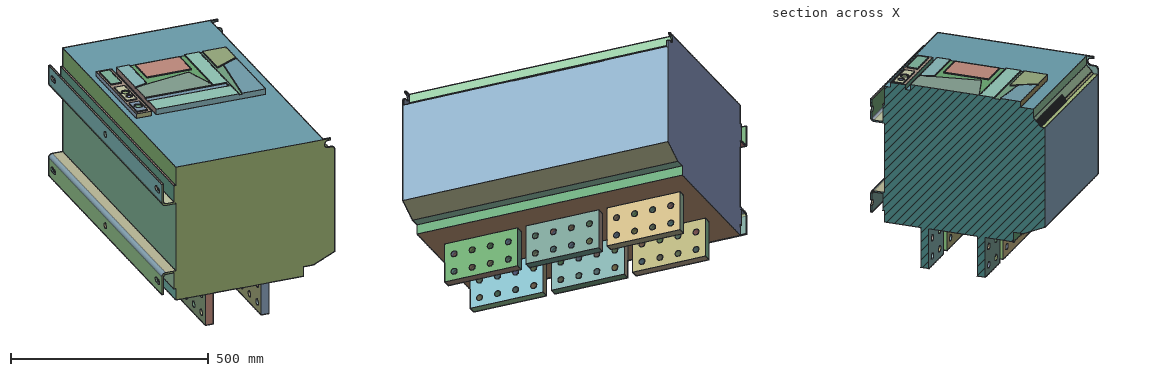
import cadquery as cq

WIDTH = 740.0
DEPTH = 436.5
HEIGHT = 375.0
BACK_UNDERCUT_Y = 351.0
BACK_UNDERCUT_Z = 27.0
BACK_SLOPE_Y = 377.5
BACK_SLOPE_Z = 54.0
BACK_CORNER = 9.0

LIP_Y = 425.0
LIP_THICKNESS = 4.5
NOTCH_Y = 408.5
NOTCH_Z = 351.0
NOTCH_RADIUS = 9.5

END_PLATE = 4.5
SHELF_Y = 405.5
SHELF_STEP_Y = 420.0
SHELF_STEP = 2.0
VENT_COUNT = 62
VENT_ROW_WIDTH = 249.0
VENT_PITCH = VENT_ROW_WIDTH / VENT_COUNT
VENT_WIDTH = VENT_PITCH / 2
VENT_START_Y = 412.0
VENT_DEPTH = 7.5

RAIL_REACH = 38.5
RAIL_SHEET = 5.0
RAIL_BEND = 2 * RAIL_SHEET
RAIL_WEB_Z = 272.0
RAIL_INNER_TOP = 323.5
RAIL_OUTER_TOP = 333.0
RAIL_MIRROR_Z = 177.5
RAIL_HOLE_Z = 306.0
RAIL_HOLE_DIAMETER = 15.0
RAIL_SLOT_X = 340.5
RAIL_SLOT_LENGTH = 28.0
RAIL_SLOT_WIDTH = 12.5

BAR_WIDTH = 203.5
BAR_THICKNESS = 22.0
BAR_LENGTH = 109.5
BAR_PITCH = 226.5
BAR_ROWS_Y = (109.5, 263.0)
BAR_HOLE_PITCH = 50.0
BAR_HOLE_COLUMNS = 4
BAR_HOLE_ROWS = 2
BAR_HOLE_DIAMETER = 16.0
BAR_TOP_HOLE_DROP = 34.0

COVER_X = -55.5
COVER_WIDTH = 260.0
COVER_LEFT = COVER_X - COVER_WIDTH / 2
COVER_RIGHT = COVER_X + COVER_WIDTH / 2
COVER_FRONT = 70.0
COVER_BACK = 371.0
PLATE_HEIGHT = 12.5
PANEL_HEIGHT = 3.0
PLATE_TOP = HEIGHT + PLATE_HEIGHT

UPPER_PANEL_FRONT = 306.0
UPPER_GAP_LEFT = -121.0
UPPER_GAP_RIGHT = -118.0
UPPER_LEFT_TIP_X = -87.0
UPPER_RIGHT_TIP = (-96.0, 326.0)

FIELD_BACK = 298.0
GROOVE_LEFT = 1.5
GROOVE_RIGHT = 22.0
GROOVE_BACK = 293.0
GROOVE_CORNER = 5.0
RECESS_BACK = 257.5
RECESS_FRONT = 106.5
RECESS_CORNER_X = -74.0
RECESS_NOTCH_X = -63.0
WEDGE_TIP = (-89.5, 229.0)
WEDGE_FOOT_X = -61.5
SCREEN_LEFT = -180.5
SCREEN_RIGHT = -104.0
SCREEN_FRONT = 120.0
SCREEN_BACK = 242.0

STRIP_LEFT = -188.0
STRIP_FRONT = 15.5
STRIP_BACK = 58.0
STRIP_PANEL_FRONT = 21.0
STRIP_PANEL_BACK = 49.5
STRIP_PANELS = ((-178.0, -102.0), (-82.0, -1.0), (14.0, 66.5))
BUTTON_Y = 36.0
BUTTONS = ((-46.5, 21.0), (-22.0, 16.0), (38.0, 21.0))


def box(x0, x1, y0, y1, z0, z1):
    return cq.Workplane("XY").box(x1 - x0, y1 - y0, z1 - z0, centered=False).translate((x0, y0, z0))


def across(profile, width):
    """Extrude a closed YZ profile along X, centred on x = 0."""
    return profile.extrude(width / 2, both=True)


def raised(points):
    """Thin panel on top of the cover plate."""
    return cq.Workplane("XY").workplane(offset=PLATE_TOP).polyline(points).close().extrude(PANEL_HEIGHT)


def raised_rectangle(x0, x1, y0, y1):
    return raised([(x0, y0), (x1, y0), (x1, y1), (x0, y1)])


def make_housing():
    body = across(
        cq.Workplane("YZ")
        .moveTo(0, 0)
        .lineTo(BACK_UNDERCUT_Y, 0)
        .lineTo(BACK_UNDERCUT_Y, BACK_UNDERCUT_Z)
        .lineTo(BACK_SLOPE_Y, BACK_UNDERCUT_Z)
        .lineTo(DEPTH, BACK_SLOPE_Z)
        .lineTo(DEPTH, NOTCH_Z - BACK_CORNER)
        .radiusArc((DEPTH - BACK_CORNER, NOTCH_Z), -BACK_CORNER)
        .lineTo(NOTCH_Y + NOTCH_RADIUS, NOTCH_Z)
        .radiusArc((NOTCH_Y, NOTCH_Z + NOTCH_RADIUS), NOTCH_RADIUS)
        .lineTo(NOTCH_Y, HEIGHT - LIP_THICKNESS - NOTCH_RADIUS)
        .radiusArc((NOTCH_Y + NOTCH_RADIUS, HEIGHT - LIP_THICKNESS), NOTCH_RADIUS)
        .lineTo(LIP_Y, HEIGHT - LIP_THICKNESS)
        .lineTo(LIP_Y, HEIGHT)
        .lineTo(0, HEIGHT)
        .close(),
        WIDTH,
    )
    return body.cut(make_shelf_space()).cut(make_vents())


def make_shelf_space():
    """Space above the shelf: a 45 degree slope with a small step, then a flat ledge."""
    step_z = NOTCH_Z - (SHELF_STEP_Y - SHELF_Y)
    ledge_z = step_z - SHELF_STEP - (LIP_Y - SHELF_STEP_Y)
    profile = (
        cq.Workplane("YZ")
        .moveTo(SHELF_Y, HEIGHT)
        .lineTo(SHELF_Y, NOTCH_Z)
        .lineTo(SHELF_STEP_Y, step_z)
        .lineTo(SHELF_STEP_Y, step_z - SHELF_STEP)
        .lineTo(LIP_Y, ledge_z)
        .lineTo(DEPTH, ledge_z)
        .lineTo(DEPTH, HEIGHT)
        .close()
    )
    return across(profile, WIDTH - 2 * END_PLATE)


def make_vents():
    """Row of narrow slots sunk into the shelf slope, running out at its back edge."""
    start_z = NOTCH_Z - (VENT_START_Y - SHELF_Y)
    floor_z = start_z - VENT_DEPTH
    floor_end_z = floor_z - SHELF_STEP - (LIP_Y - VENT_START_Y)
    slot = across(
        cq.Workplane("YZ")
        .moveTo(VENT_START_Y, start_z)
        .lineTo(VENT_START_Y, floor_z)
        .lineTo(LIP_Y, floor_end_z)
        .lineTo(LIP_Y, start_z)
        .close(),
        VENT_WIDTH,
    )
    first_x = COVER_X - (VENT_COUNT - 1) * VENT_PITCH / 2
    vents = cq.Workplane("XY")
    for i in range(VENT_COUNT):
        vents.add(slot.translate((first_x + i * VENT_PITCH, 0, 0)))
    return vents.combine(clean=False)


def make_upper_rail():
    """Z-section rail: inner flange on the housing, web, and outer flange."""
    outer_y = -RAIL_REACH
    web_top = RAIL_WEB_Z + RAIL_SHEET
    bend_z = RAIL_WEB_Z + RAIL_BEND
    bend_y = outer_y + RAIL_BEND
    inner_bend = RAIL_BEND - RAIL_SHEET
    rail = across(
        cq.Workplane("YZ")
        .moveTo(0, RAIL_WEB_Z)
        .lineTo(0, RAIL_INNER_TOP)
        .lineTo(-RAIL_SHEET, RAIL_INNER_TOP)
        .lineTo(-RAIL_SHEET, web_top)
        .lineTo(bend_y, web_top)
        .radiusArc((outer_y + RAIL_SHEET, bend_z), inner_bend)
        .lineTo(outer_y + RAIL_SHEET, RAIL_OUTER_TOP)
        .lineTo(outer_y, RAIL_OUTER_TOP)
        .lineTo(outer_y, bend_z)
        .radiusArc((bend_y, RAIL_WEB_Z), -RAIL_BEND)
        .close(),
        WIDTH,
    )
    flange = cq.Workplane("XZ", origin=(0, outer_y + RAIL_SHEET, RAIL_HOLE_Z))
    hole = flange.circle(RAIL_HOLE_DIAMETER / 2).extrude(RAIL_SHEET)
    slots = (
        flange.pushPoints([(-RAIL_SLOT_X, 0), (RAIL_SLOT_X, 0)])
        .slot2D(RAIL_SLOT_LENGTH, RAIL_SLOT_WIDTH)
        .extrude(RAIL_SHEET)
    )
    return rail.cut(hole).cut(slots)


def make_busbar():
    bar = box(-BAR_WIDTH / 2, BAR_WIDTH / 2, -BAR_THICKNESS / 2, BAR_THICKNESS / 2, -BAR_LENGTH, 0)
    holes_z = -BAR_TOP_HOLE_DROP - BAR_HOLE_PITCH * (BAR_HOLE_ROWS - 1) / 2
    holes = (
        cq.Workplane("XZ", origin=(0, 0, holes_z))
        .rarray(BAR_HOLE_PITCH, BAR_HOLE_PITCH, BAR_HOLE_COLUMNS, BAR_HOLE_ROWS)
        .circle(BAR_HOLE_DIAMETER / 2)
        .extrude(BAR_THICKNESS, both=True)
    )
    return bar.cut(holes)


def make_cover():
    plate = box(COVER_LEFT, COVER_RIGHT, COVER_FRONT, COVER_BACK, HEIGHT, PLATE_TOP)
    upper_left = raised([
        (COVER_LEFT, COVER_BACK),
        (UPPER_GAP_LEFT, COVER_BACK),
        (UPPER_LEFT_TIP_X, UPPER_PANEL_FRONT),
        (COVER_LEFT, UPPER_PANEL_FRONT),
    ])
    upper_right = raised([
        (UPPER_GAP_RIGHT, COVER_BACK),
        (COVER_RIGHT, COVER_BACK),
        (COVER_RIGHT, UPPER_PANEL_FRONT),
        UPPER_RIGHT_TIP,
    ])
    field = raised_rectangle(COVER_LEFT, COVER_RIGHT, COVER_FRONT, FIELD_BACK)
    recess = raised([
        (COVER_LEFT, RECESS_BACK),
        (GROOVE_LEFT, RECESS_BACK),
        WEDGE_TIP,
        (WEDGE_FOOT_X, COVER_FRONT),
        (RECESS_NOTCH_X, COVER_FRONT),
        (RECESS_CORNER_X, RECESS_FRONT),
        (COVER_LEFT, RECESS_FRONT),
    ])
    groove = (
        raised_rectangle(GROOVE_LEFT, GROOVE_RIGHT, COVER_FRONT, GROOVE_BACK)
        .edges("|Z and >X and >Y")
        .fillet(GROOVE_CORNER)
    )
    screen = raised_rectangle(SCREEN_LEFT, SCREEN_RIGHT, SCREEN_FRONT, SCREEN_BACK)
    field = field.cut(recess).cut(groove)
    return plate.union(upper_left).union(upper_right).union(field).union(screen)


def make_control_strip():
    strip = box(STRIP_LEFT, COVER_RIGHT, STRIP_FRONT, STRIP_BACK, HEIGHT, PLATE_TOP)
    for left, right in STRIP_PANELS:
        strip = strip.union(raised_rectangle(left, right, STRIP_PANEL_FRONT, STRIP_PANEL_BACK))
    for x, diameter in BUTTONS:
        opening = cq.Workplane("XY", origin=(x, BUTTON_Y, PLATE_TOP)).circle(diameter / 2)
        strip = strip.cut(opening.extrude(PANEL_HEIGHT))
    return strip


result = make_housing()

upper_rail = make_upper_rail()
lower_rail = upper_rail.mirror("XY", (0, 0, RAIL_MIRROR_Z))
result = result.union(upper_rail).union(lower_rail)

busbar = make_busbar()
for bar_y in BAR_ROWS_Y:
    for position in (-1, 0, 1):
        result = result.union(busbar.translate((position * BAR_PITCH, bar_y, 0)))

result = result.union(make_cover()).union(make_control_strip())